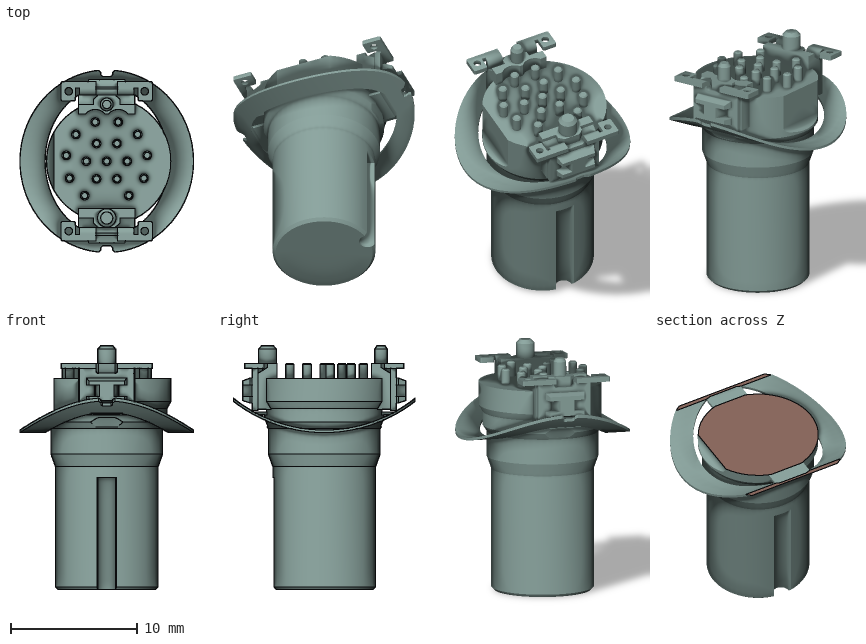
import cadquery as cq
import math

BARREL_RADIUS = 4.08
BARREL_CHAMFER = 0.23
BARREL_TOP = 9.76
COLLAR_RADIUS = 4.44
COLLAR_BOTTOM = 10.77
COLLAR_TOP = 12.77
NECK_BOTTOM = 13.29
HEAD_RADIUS = 4.78
HEAD_TOP = 16.76

RELIEF_SEAT_Y = 4.58
RELIEF_FACE_Y = 4.733
RELIEF_FACE_BOTTOM = 13.65
RELIEF_EDGE_Y = 4.62
RELIEF_EDGE_Z = 13.33
RELIEF_TOE_Y = 4.46
RELIEF_TOE_Z = 12.92

RIM_RADIUS = 5.08
RIM_BOTTOM = 14.36
RIM_CYLINDER_BOTTOM = 14.91

RECESS_X = -4.2
RECESS_FLAT_BOTTOM = 14.05
RECESS_CURVE_RADIUS = 0.53
RECESS_CURVE_END_X = -4.42
RECESS_CURVE_END_Z = 13.62
RECESS_RIM_Z = 13.43

GROOVE_RADIUS = 0.68
GROOVE_CENTER_Y = -3.75
GROOVE_MOUTH_HALF_X = 0.79
GROOVE_MOUTH_Y = -4.01
GROOVE_TOP = 8.89

PIN_RADIUS = 0.34
PIN_CHAMFER = 0.1
PIN_TOP = 17.95
INNER_CIRCLE_RADIUS = 1.62
INNER_COUNT = 6
OUTER_CIRCLE_RADIUS = 3.24
OUTER_POSITIONS = 11

WASHER_BOTTOM = 12.46
WASHER_OUTER_BEND = 11.72
WASHER_THICKNESS = 0.2
WASHER_HALF_X = 6.89
WASHER_HALF_Y = 7.244
OPENING_HALF_X = 4.88
OPENING_HALF_Y = 5.9
TONGUE_HALF_X = 1.07
TONGUE_Y = 5.72
NOTCH_FLOOR_HALF_X = 0.47
NOTCH_MOUTH_HALF_X = 0.68
NOTCH_LIP_Y = 7.05
NOTCH_Y = 6.72
NOTCH_CORNER = 0.14

TAB_HALF_X = 1.55
TAB_INNER_Y = 4.4
TAB_OUTER_Y = 5.8
TAB_STEP_Y = 5.45
TAB_BOTTOM = 13.87
TAB_STEP_Z = 14.0
TAB_TOP = 14.1

BLOCK_HALF_X = 2.24
BLOCK_INNER_Y = 3.74
BLOCK_STEP_Y = 4.5
BLOCK_OUTER_Y = 5.26
BLOCK_BOTTOM = 14.31
BLOCK_TOP = 17.94
BLOCK_STEP_Z = 17.64
BLOCK_SLOPE_Z = 17.15
BOSS_HALF_X = 1.06
BOSS_TAPER_Y = 4.9
BOSS_TIP_HALF_X = 0.66
SCALLOP_RADIUS = 1.0

PEG_TOP = 19.35
PEG_CHAMFER_HEIGHT = 0.28
LARGE_PEG_RADIUS = 0.73
LARGE_PEG_TIP_RADIUS = 0.48
SMALL_PEG_RADIUS = 0.51
SMALL_PEG_TIP_RADIUS = 0.33

PLATE_HALF_X = 2.16
PLATE_OUTER_Y = 5.71
PLATE_BOTTOM = 14.2
ARM_GAP_HALF_X = 0.855
ARM_GAP_BOTTOM = 17.17
ARM_GAP_CORNER_RADIUS = 0.22
ARM_BOTTOM = 17.55
ARM_OUTER_Y = 6.32
ARM_INNER_Y = 5.82
BEND_RADIUS = 0.49
PAD_HALF_SPAN = 3.62
PAD_INNER_X = 2.48
PAD_INNER_Y = 4.78
PAD_CORNER_RADIUS = 0.12
PAD_HOLE_X = 3.01
PAD_HOLE_Y = 5.54
PAD_HOLE_RADIUS = 0.3

LATCH_HALF_X = 1.62
LATCH_TIP_HALF_X = 1.42
LATCH_BOTTOM = 14.8
LATCH_TOP = 16.79
LATCH_FACE_BOTTOM = 15.0
LATCH_FACE_TOP = 16.57
LATCH_BASE_Y = 5.88
LATCH_FACE_Y = 6.47
LATCH_WEB_HALF_X = 0.585
LATCH_ROOT_HALF_X = 0.9
WINDOW_BOTTOM = 15.34
WINDOW_TOP = 16.24

OVERLAP = 0.1


def box(x_range, y_range, z_range):
    """Axis-aligned box between the given limits."""
    size = [high - low for low, high in (x_range, y_range, z_range)]
    corner = (x_range[0], y_range[0], z_range[0])
    return cq.Workplane("XY").box(*size, centered=False).translate(corner)


def polar(radius, degrees):
    angle = math.radians(degrees)
    return radius * math.cos(angle), radius * math.sin(angle)


def contact_positions():
    """Centre, inner circle, and outer circle without its place on -Y."""
    points = [(0, 0)]
    for i in range(INNER_COUNT):
        points.append(polar(INNER_CIRCLE_RADIUS, i * 360 / INNER_COUNT))
    for i in range(1, OUTER_POSITIONS):
        points.append(polar(OUTER_CIRCLE_RADIUS, -90 + i * 360 / OUTER_POSITIONS))
    return points


def make_head_rim():
    """Half ring on the +X side, chamfered underneath."""
    rim_profile = [
        (0, RIM_BOTTOM),
        (HEAD_RADIUS, RIM_BOTTOM),
        (RIM_RADIUS, RIM_CYLINDER_BOTTOM),
        (RIM_RADIUS, HEAD_TOP),
        (0, HEAD_TOP),
    ]
    full_turn = cq.Workplane("XZ").polyline(rim_profile).close().revolve(360, (0, 0), (0, 1))
    plus_x_half = box((0, RIM_RADIUS), (-RIM_RADIUS, RIM_RADIUS), (RIM_BOTTOM, HEAD_TOP))
    return full_turn.intersect(plus_x_half)


def make_recess_cutter():
    profile = (
        cq.Workplane("XZ")
        .moveTo(-HEAD_RADIUS, RECESS_RIM_Z)
        .lineTo(RECESS_CURVE_END_X, RECESS_CURVE_END_Z)
        .radiusArc((RECESS_X, RECESS_FLAT_BOTTOM), -RECESS_CURVE_RADIUS)
        .lineTo(RECESS_X, HEAD_TOP)
        .lineTo(-HEAD_RADIUS, HEAD_TOP)
        .close()
    )
    return profile.extrude(HEAD_RADIUS, both=True)


def make_relief_cutter():
    """Straight cut along X on the +Y side, from the collar up to the clip block."""
    profile = [
        (RELIEF_SEAT_Y, BLOCK_BOTTOM),
        (RELIEF_SEAT_Y, TAB_BOTTOM),
        (RELIEF_FACE_Y, TAB_BOTTOM),
        (RELIEF_FACE_Y, RELIEF_FACE_BOTTOM),
        (RELIEF_EDGE_Y, RELIEF_EDGE_Z),
        (RELIEF_TOE_Y, RELIEF_TOE_Z),
        (RIM_RADIUS, RELIEF_TOE_Z),
        (RIM_RADIUS, BLOCK_BOTTOM),
    ]
    return cq.Workplane("YZ").polyline(profile).close().extrude(BLOCK_HALF_X, both=True)


def make_groove_cutter():
    """Round-bottomed groove whose mouth flares outward."""
    bottom = cq.Workplane("XY").center(0, GROOVE_CENTER_Y).circle(GROOVE_RADIUS).extrude(GROOVE_TOP)
    mouth_profile = [
        (-GROOVE_RADIUS, GROOVE_CENTER_Y),
        (GROOVE_RADIUS, GROOVE_CENTER_Y),
        (GROOVE_MOUTH_HALF_X, GROOVE_MOUTH_Y),
        (GROOVE_MOUTH_HALF_X, -COLLAR_RADIUS),
        (-GROOVE_MOUTH_HALF_X, -COLLAR_RADIUS),
        (-GROOVE_MOUTH_HALF_X, GROOVE_MOUTH_Y),
    ]
    mouth = cq.Workplane("XY").polyline(mouth_profile).close().extrude(GROOVE_TOP)
    return bottom.union(mouth)


def make_housing():
    profile = [
        (0, 0),
        (BARREL_RADIUS - BARREL_CHAMFER, 0),
        (BARREL_RADIUS, BARREL_CHAMFER),
        (BARREL_RADIUS, BARREL_TOP),
        (COLLAR_RADIUS, COLLAR_BOTTOM),
        (COLLAR_RADIUS, COLLAR_TOP),
        (HEAD_RADIUS, NECK_BOTTOM),
        (HEAD_RADIUS, HEAD_TOP),
        (0, HEAD_TOP),
    ]
    housing = cq.Workplane("XZ").polyline(profile).close().revolve(360, (0, 0), (0, 1))
    housing = housing.union(make_head_rim()).cut(make_recess_cutter())
    relief = make_relief_cutter()
    return housing.cut(relief).cut(relief.mirror("XZ")).cut(make_groove_cutter())


def make_contacts():
    base = HEAD_TOP - OVERLAP
    return (
        cq.Workplane("XY", origin=(0, 0, base))
        .pushPoints(contact_positions())
        .circle(PIN_RADIUS)
        .extrude(PIN_TOP - base)
        .faces(">Z")
        .chamfer(PIN_CHAMFER)
    )


def make_washer():
    bend_center_z = WASHER_BOTTOM + WASHER_OUTER_BEND
    sheet = (
        cq.Workplane("YZ", origin=(-WASHER_HALF_X, 0, 0))
        .center(0, bend_center_z)
        .circle(WASHER_OUTER_BEND)
        .circle(WASHER_OUTER_BEND - WASHER_THICKNESS)
        .extrude(2 * WASHER_HALF_X)
    )
    outline = cq.Workplane("XY").ellipse(WASHER_HALF_X, WASHER_HALF_Y).extrude(bend_center_z)
    opening = cq.Workplane("XY").ellipse(OPENING_HALF_X, OPENING_HALF_Y).extrude(bend_center_z)
    notch_profile = [
        (NOTCH_CORNER - NOTCH_FLOOR_HALF_X, NOTCH_Y),
        (NOTCH_FLOOR_HALF_X - NOTCH_CORNER, NOTCH_Y),
        (NOTCH_FLOOR_HALF_X, NOTCH_Y + NOTCH_CORNER),
        (NOTCH_FLOOR_HALF_X, NOTCH_LIP_Y),
        (NOTCH_MOUTH_HALF_X, WASHER_HALF_Y),
        (-NOTCH_MOUTH_HALF_X, WASHER_HALF_Y),
        (-NOTCH_FLOOR_HALF_X, NOTCH_LIP_Y),
        (-NOTCH_FLOOR_HALF_X, NOTCH_Y + NOTCH_CORNER),
    ]
    notch = cq.Workplane("XY").polyline(notch_profile).close().extrude(bend_center_z)
    tongue = box((-TONGUE_HALF_X, TONGUE_HALF_X), (TONGUE_Y, OPENING_HALF_Y), (0, bend_center_z))
    for each_tongue in (tongue, tongue.mirror("XZ")):
        opening = opening.cut(each_tongue)
    return sheet.intersect(outline).cut(opening).cut(notch).cut(notch.mirror("XZ"))


def make_tab():
    x_range = (-TAB_HALF_X, TAB_HALF_X)
    upper = box(x_range, (TAB_INNER_Y, TAB_OUTER_Y), (TAB_STEP_Z, TAB_TOP))
    lower = box(x_range, (TAB_INNER_Y, TAB_STEP_Y), (TAB_BOTTOM, TAB_STEP_Z))
    return upper.union(lower)


def make_block():
    """Carrier block with sloped shoulders and a tapered boss between them."""
    side_profile = [
        (BLOCK_INNER_Y, BLOCK_BOTTOM),
        (BLOCK_OUTER_Y, BLOCK_BOTTOM),
        (BLOCK_OUTER_Y, BLOCK_SLOPE_Z),
        (BLOCK_STEP_Y, BLOCK_STEP_Z),
        (BLOCK_STEP_Y, BLOCK_TOP),
        (BLOCK_INNER_Y, BLOCK_TOP),
    ]
    block = cq.Workplane("YZ").polyline(side_profile).close().extrude(BLOCK_HALF_X, both=True)
    boss_profile = [
        (-BOSS_HALF_X, BLOCK_INNER_Y),
        (BOSS_HALF_X, BLOCK_INNER_Y),
        (BOSS_HALF_X, BOSS_TAPER_Y),
        (BOSS_TIP_HALF_X, BLOCK_OUTER_Y),
        (-BOSS_TIP_HALF_X, BLOCK_OUTER_Y),
        (-BOSS_HALF_X, BOSS_TAPER_Y),
    ]
    boss = (
        cq.Workplane("XY", origin=(0, 0, BLOCK_SLOPE_Z))
        .polyline(boss_profile)
        .close()
        .extrude(BLOCK_TOP - BLOCK_SLOPE_Z)
    )
    return block.union(boss)


def make_plate():
    """Upright plate whose upper edge bends outward into the two arms."""
    profile = (
        cq.Workplane("YZ")
        .moveTo(BLOCK_OUTER_Y, PLATE_BOTTOM)
        .lineTo(PLATE_OUTER_Y, PLATE_BOTTOM)
        .lineTo(PLATE_OUTER_Y, ARM_BOTTOM)
        .lineTo(ARM_OUTER_Y, ARM_BOTTOM)
        .lineTo(ARM_OUTER_Y, BLOCK_TOP)
        .lineTo(BLOCK_OUTER_Y + BEND_RADIUS, BLOCK_TOP)
        .radiusArc((BLOCK_OUTER_Y, BLOCK_TOP - BEND_RADIUS), -BEND_RADIUS)
        .close()
    )
    plate = profile.extrude(PLATE_HALF_X, both=True)
    gap = box(
        (-ARM_GAP_HALF_X, ARM_GAP_HALF_X),
        (BLOCK_OUTER_Y, ARM_OUTER_Y),
        (ARM_GAP_BOTTOM, BLOCK_TOP),
    )
    return plate.cut(gap.edges("|Y and <Z").fillet(ARM_GAP_CORNER_RADIUS))


def make_pad():
    """Solder pad at the +X end, with the strip that ties it to the arm."""
    z_range = (ARM_BOTTOM, BLOCK_TOP)
    pad = box((PAD_INNER_X, PAD_HALF_SPAN), (PAD_INNER_Y, ARM_OUTER_Y), z_range)
    pad = pad.edges("|Z and (>X or <Y)").fillet(PAD_CORNER_RADIUS)
    strip = box((PLATE_HALF_X - OVERLAP, PAD_INNER_X + OVERLAP), (ARM_INNER_Y, ARM_OUTER_Y), z_range)
    hole = (
        cq.Workplane("XY", origin=(PAD_HOLE_X, PAD_HOLE_Y, ARM_BOTTOM))
        .circle(PAD_HOLE_RADIUS)
        .extrude(BLOCK_TOP - ARM_BOTTOM)
    )
    return pad.union(strip).cut(hole)


def make_latch():
    """Boss that stands out from the plate and tapers to its face."""
    base = box(
        (-LATCH_HALF_X, LATCH_HALF_X),
        (PLATE_OUTER_Y - OVERLAP, LATCH_BASE_Y),
        (LATCH_BOTTOM, LATCH_TOP),
    )
    base_center_z = (LATCH_BOTTOM + LATCH_TOP) / 2
    face_center_z = (LATCH_FACE_BOTTOM + LATCH_FACE_TOP) / 2
    taper = (
        cq.Workplane("XZ", origin=(0, LATCH_BASE_Y, base_center_z))
        .rect(2 * LATCH_HALF_X, LATCH_TOP - LATCH_BOTTOM)
        .workplane(offset=LATCH_BASE_Y - LATCH_FACE_Y)
        .center(0, face_center_z - base_center_z)
        .rect(2 * LATCH_TIP_HALF_X, LATCH_FACE_TOP - LATCH_FACE_BOTTOM)
        .loft(ruled=True)
    )
    return base.union(taper)


def make_window_cutter():
    """Window beside the +X flank of the latch web, with the plate rolled inward."""
    roll_radius = PLATE_OUTER_Y - BLOCK_OUTER_Y
    return (
        cq.Workplane("XY", origin=(0, 0, WINDOW_BOTTOM))
        .moveTo(LATCH_WEB_HALF_X, LATCH_FACE_Y)
        .lineTo(LATCH_ROOT_HALF_X, BLOCK_OUTER_Y)
        .lineTo(LATCH_TIP_HALF_X - roll_radius, BLOCK_OUTER_Y)
        .radiusArc((LATCH_TIP_HALF_X, PLATE_OUTER_Y), roll_radius)
        .lineTo(LATCH_HALF_X, PLATE_OUTER_Y)
        .lineTo(LATCH_HALF_X, LATCH_FACE_Y)
        .close()
        .extrude(WINDOW_TOP - WINDOW_BOTTOM)
    )


def make_peg(radius, tip_radius):
    shoulder = PEG_TOP - PEG_CHAMFER_HEIGHT
    profile = [
        (0, BLOCK_SLOPE_Z),
        (radius, BLOCK_SLOPE_Z),
        (radius, shoulder),
        (tip_radius, PEG_TOP),
        (0, PEG_TOP),
    ]
    peg = cq.Workplane("XZ").polyline(profile).close().revolve(360, (0, 0), (0, 1))
    return peg.translate((0, BLOCK_STEP_Y, 0))


def make_clip():
    """Everything the two sides share, placed on +Y."""
    pad = make_pad()
    clip = make_block()
    for piece in (make_plate(), pad, pad.mirror("YZ"), make_latch(), make_tab()):
        clip = clip.union(piece)
    window = make_window_cutter()
    return clip.cut(window).cut(window.mirror("YZ"))


def scallop(clip):
    """Clear the +Y block around the two contacts nearest to it."""
    half_pitch = 180 / OUTER_POSITIONS
    for turn in (-half_pitch, half_pitch):
        center = polar(OUTER_CIRCLE_RADIUS, 90 + turn)
        cutter = cq.Workplane("XY").center(*center).circle(SCALLOP_RADIUS).extrude(BLOCK_TOP)
        clip = clip.cut(cutter.translate((0, 0, HEAD_TOP)))
    return clip


clip = make_clip()
rear_clip = scallop(clip).union(make_peg(SMALL_PEG_RADIUS, SMALL_PEG_TIP_RADIUS))
front_clip = clip.union(make_peg(LARGE_PEG_RADIUS, LARGE_PEG_TIP_RADIUS)).mirror("XZ")

result = make_housing()
for component in (make_contacts(), make_washer(), rear_clip, front_clip):
    result = result.union(component)